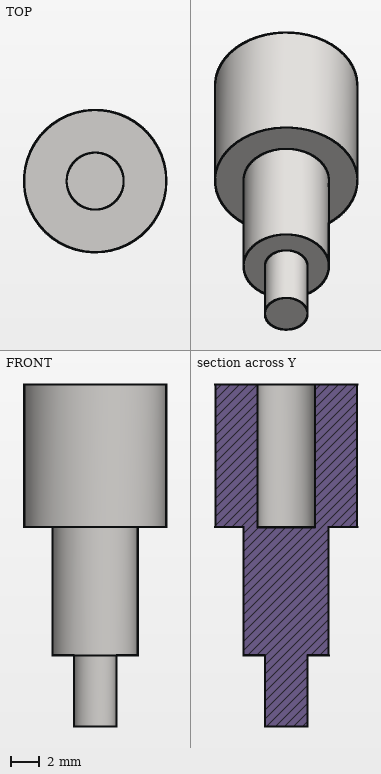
import cadquery as cq

pin_diameter = 3.0
pin_length = 5.0
shank_diameter = 6.0
shank_length = 9.0
head_diameter = 10.0
head_length = 10.0
bore_diameter = 4.0
bore_depth = head_length

shank_bottom = pin_length
head_bottom = shank_bottom + shank_length
head_top = head_bottom + head_length


def cylinder(diameter, bottom, height):
    """Solid cylinder on the Z axis, rising from the given level."""
    return cq.Workplane("XY").workplane(offset=bottom).circle(diameter / 2).extrude(height)


pin = cylinder(pin_diameter, 0, pin_length)
shank = cylinder(shank_diameter, shank_bottom, shank_length)
head = cylinder(head_diameter, head_bottom, head_length)
body = pin.union(shank).union(head)

bore = cylinder(bore_diameter, head_top - bore_depth, bore_depth)

result = body.cut(bore)